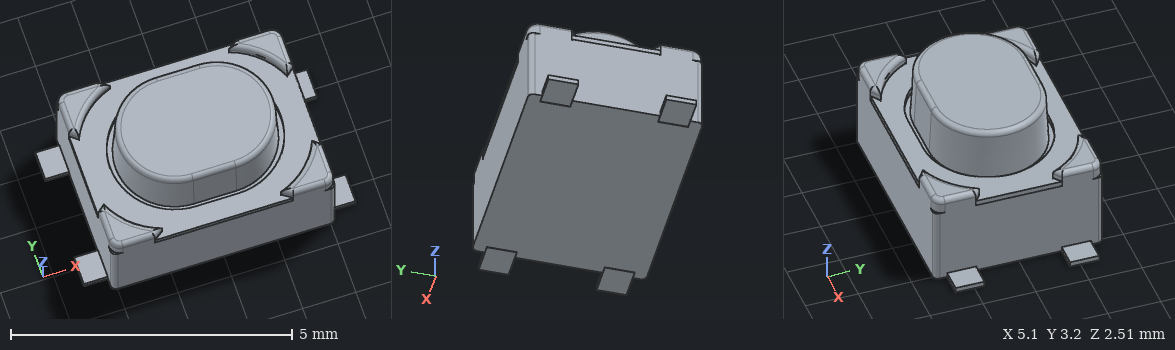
import cadquery as cq

OVERALL_LENGTH = 5.1
OVERALL_HEIGHT = 2.51

BASE_LENGTH = 4.2
BASE_WIDTH = 3.2
BASE_HEIGHT = 1.5
BASE_CORNER_RADIUS = 0.1
STANDOFF = 0.01

LEAD_WIDTH = 0.55
LEAD_THICKNESS = 0.1
LEAD_PITCH = 2.16
LEAD_TUCK = 0.155

PLATE_THICKNESS = 0.1

POST_HEIGHT = 0.3
POST_CORNER_RADIUS = 0.2
POST_EDGE_FILLET = 0.1
POST_END_X = 1.3
POST_END_Y = 0.815
POST_LONG_TIP_RUN = 0.19
POST_LONG_TIP_INSET = 0.135
POST_SHORT_TIP_RUN = 0.12
POST_SHORT_TIP_INSET = 0.15
POST_ARC_DEPTH = 0.12

BUTTON_STRAIGHT = 0.8
BUTTON_BASE_WIDTH = 2.2
BUTTON_TAPER = 2.8
BUTTON_TOP_FILLET = 0.1
BUTTON_CLEARANCE = 0.1

base_top = STANDOFF + BASE_HEIGHT
half_length = BASE_LENGTH / 2
half_width = BASE_WIDTH / 2
lead_length = (OVERALL_LENGTH - BASE_LENGTH) / 2 + LEAD_TUCK


def make_post_blank(height):
    """Sharp-edged corner post at +X +Y on the base top, with a concave inner wall."""
    end_on_long_side = (POST_END_X, half_width)
    end_on_short_side = (half_length, POST_END_Y)
    long_tip = (POST_END_X - POST_LONG_TIP_RUN, half_width - POST_LONG_TIP_INSET)
    short_tip = (half_length - POST_SHORT_TIP_INSET, POST_END_Y - POST_SHORT_TIP_RUN)
    chord = cq.Vector(short_tip[0] - long_tip[0], short_tip[1] - long_tip[1])
    outward = cq.Vector(-chord.y, chord.x).normalized()
    arc_middle = (
        (long_tip[0] + short_tip[0]) / 2 + outward.x * POST_ARC_DEPTH,
        (long_tip[1] + short_tip[1]) / 2 + outward.y * POST_ARC_DEPTH,
    )
    return (
        cq.Workplane("XY", origin=(0, 0, base_top))
        .moveTo(*long_tip)
        .threePointArc(arc_middle, short_tip)
        .lineTo(*end_on_short_side)
        .lineTo(half_length, half_width)
        .lineTo(*end_on_long_side)
        .close()
        .extrude(height)
    )


def make_post():
    """Corner post at +X +Y with a rounded outer corner and rounded top edges."""
    outer_corner = (half_length, half_width, base_top + POST_HEIGHT / 2)
    return (
        make_post_blank(POST_HEIGHT)
        .edges(cq.selectors.NearestToPointSelector(outer_corner))
        .fillet(POST_CORNER_RADIUS)
        .faces(">Z")
        .edges()
        .fillet(POST_EDGE_FILLET)
    )


def at_all_corners(body):
    """The body at +X +Y and its mirror images in the other three corners."""
    pair = [body, body.mirror("YZ")]
    return pair + [item.mirror("XZ") for item in pair]


def make_button():
    """Tapered oval button with a rounded top edge."""
    return (
        cq.Workplane("XY", origin=(0, 0, base_top))
        .slot2D(BUTTON_STRAIGHT + BUTTON_BASE_WIDTH, BUTTON_BASE_WIDTH)
        .extrude(OVERALL_HEIGHT - base_top, taper=BUTTON_TAPER)
        .faces(">Z")
        .edges()
        .fillet(BUTTON_TOP_FILLET)
    )


def make_lead():
    """Flat lead at +X +Y, tucked into the underside of the base."""
    lead_x = (OVERALL_LENGTH - lead_length) / 2
    return cq.Workplane("XY", origin=(lead_x, LEAD_PITCH / 2, 0)).box(
        lead_length, LEAD_WIDTH, LEAD_THICKNESS, centered=(True, True, False)
    )


def make_housing():
    """Base block with its leads, corner posts and button."""
    housing = (
        cq.Workplane("XY", origin=(0, 0, STANDOFF))
        .rect(BASE_LENGTH, BASE_WIDTH)
        .extrude(BASE_HEIGHT)
        .edges("|Z")
        .fillet(BASE_CORNER_RADIUS)
    )
    for addition in at_all_corners(make_post()) + at_all_corners(make_lead()):
        housing = housing.union(addition)
    return housing.union(make_button()).clean()


def make_cover_plate():
    """Thin plate on the base, open around the button and notched around the posts."""
    opening_width = BUTTON_BASE_WIDTH + 2 * BUTTON_CLEARANCE
    plate = (
        cq.Workplane("XY", origin=(0, 0, base_top))
        .rect(BASE_LENGTH, BASE_WIDTH)
        .slot2D(BUTTON_STRAIGHT + opening_width, opening_width)
        .extrude(PLATE_THICKNESS)
    )
    for notch in at_all_corners(make_post_blank(PLATE_THICKNESS)):
        plate = plate.cut(notch)
    return plate


housing = make_housing()
cover_plate = make_cover_plate()

result = cq.Compound.makeCompound([housing.val(), cover_plate.val()])